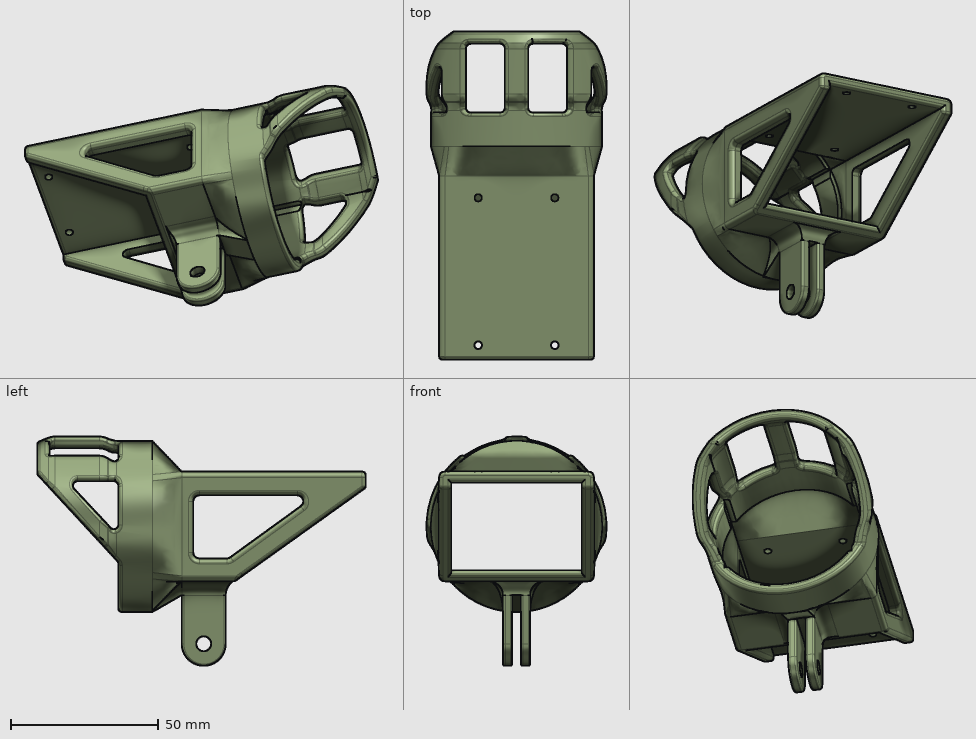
import cadquery as cq
import math


TOUCH_TOLERANCE = 0.01
OVERLAP = 1.0

BOX_LENGTH = 62.5
BOX_WIDTH = 52.6
BOX_HEIGHT = 37.3
BOX_FLOOR_LENGTH = 18.0
BOX_TIP_HEIGHT = 5.5
BOX_EDGE_RADIUS = 2.0
BOX_FRONT_ROUND = 1.3
BOX_TOP = BOX_HEIGHT / 2
BOX_BOTTOM = -BOX_HEIGHT / 2
SLOPE_RUN = BOX_LENGTH - BOX_FLOOR_LENGTH
SLOPE_RISE = BOX_HEIGHT - BOX_TIP_HEIGHT

MOUTH_WIDTH = 44.2
MOUTH_HEIGHT = 29.6

BOX_WINDOW_BACK = -4.0
BOX_WINDOW_FLOOR_END = -16.0
BOX_WINDOW_TIP = -45.4
BOX_WINDOW_TOP = 10.5
BOX_WINDOW_BOTTOM = -10.8
BOX_WINDOW_CORNER_RADIUS = 2.0
BOX_WINDOW_ROUND = 1.8

SCREW_DIAMETER = 2.5
SCREW_SPACING_X = 26.0
SCREW_SPACING_Y = 50.0
SCREW_FIRST_Y = -7.5

WALL = 4.0
TRANSITION_LENGTH = 10.0
RING_LENGTH = 11.5
RING_RADIUS = 58.15 / 2
BORE_RADIUS = RING_RADIUS - WALL
TRANSITION_BORE_RADIUS = math.hypot(MOUTH_WIDTH / 2, MOUTH_HEIGHT / 2)
RING_END = TRANSITION_LENGTH + RING_LENGTH

CAGE_LENGTH = 27.5
CAGE_STEP = 1.5
CAGE_STEP_OFFSET = 2.15
CAGE_STEP_LENGTH = 2.8
CAGE_TAPER = 2.0
CAGE_TAPER_LENGTH = 4.84
CAGE_BEND_RADIUS = 5.6
CAGE_SLOPE_LOW_Z = -12.1
CAGE_SLOPE_HIGH_Z = 17.7
CAGE_EDGE_ROUND = 1.3
CAGE_END = RING_END + CAGE_LENGTH
CAGE_STEP_START = RING_END + CAGE_STEP_OFFSET
CAGE_STEP_END = CAGE_STEP_START + CAGE_STEP_LENGTH
CAGE_TAPER_START = CAGE_END - CAGE_TAPER_LENGTH
CAGE_WINDOW_CORNER_RADIUS = 1.5

TOP_WINDOW_WIDTH = 13.1
TOP_WINDOW_CENTER_X = 10.55
TOP_WINDOW_RIM = 4.3
TOP_WINDOW_LENGTH = CAGE_LENGTH - TOP_WINDOW_RIM

SIDE_WINDOW_TOP = 15.3
SIDE_WINDOW_BOTTOM = -3.2
SIDE_WINDOW_LENGTH = 17.3

LUG_LENGTH = 15.0
LUG_WIDTH = 9.2
LUG_SLOT_WIDTH = 3.0
LUG_SLOT_TOP = -23.2
LUG_BOTTOM = -47.315
LUG_HOLE_DIAMETER = 5.0
LUG_EDGE_ROUND = 0.7
LUG_FLARE_RADIUS = 4.7
LUG_FRONT_FLARE = 4.6
PRONG_THICKNESS = (LUG_WIDTH - LUG_SLOT_WIDTH) / 2
PRONG_CENTER_X = (LUG_WIDTH + LUG_SLOT_WIDTH) / 4
LUG_PIVOT_Y = -LUG_LENGTH / 2
LUG_PIVOT_Z = LUG_BOTTOM + LUG_LENGTH / 2
LUG_SHOULDER_Z = BOX_BOTTOM - LUG_FLARE_RADIUS


def side_prism(points, width):
    """Prism of a (y, z) outline, centred on X = 0."""
    return cq.Workplane("YZ").polyline(points).close().extrude(width / 2, both=True)


def rectangle_bar(width, height, start, end):
    """Rectangular bar on the ring axis between two Y positions."""
    return cq.Workplane("XZ", origin=(0, end, 0)).rect(width, height).extrude(end - start)


def rectangle_to_circle(bar, circle_radius):
    """Straight-ruled loft from the +Y end of a bar at Y = 0 to a circle at the ring, seam at -Z."""
    rectangle = bar.faces(">Y").wires().val()
    circle = cq.Wire.makeCircle(circle_radius, cq.Vector(0, TRANSITION_LENGTH, 0), cq.Vector(0, 1, 0))
    loft = cq.Workplane(cq.Solid.makeLoft([rectangle, circle], True))
    return loft.rotate((0, 0, 0), (0, 1, 0), 180)


def edges_on(body, cutter, excluded_direction):
    """Edges of a body that touch a cutter, except those along one direction."""
    touching = []
    for edge in body.edges(f"not |{excluded_direction}").vals():
        middle = cq.Vertex.makeVertex(*edge.positionAt(0.5).toTuple())
        if middle.distance(cutter.val()) < TOUCH_TOLERANCE:
            touching.append(edge)
    return touching


def cut_rounded_window(body, window, cut_direction):
    """Cut a cage window and round its inner and outer rims."""
    body = body.cut(window)
    rims = edges_on(body, window, cut_direction)
    return body.newObject(rims).fillet(CAGE_EDGE_ROUND)


def cut_box_window(box):
    outline = [
        (BOX_WINDOW_BACK, BOX_WINDOW_TOP),
        (BOX_WINDOW_TIP, BOX_WINDOW_TOP),
        (BOX_WINDOW_FLOOR_END, BOX_WINDOW_BOTTOM),
        (BOX_WINDOW_BACK, BOX_WINDOW_BOTTOM),
    ]
    window = side_prism(outline, BOX_WIDTH).edges("|X").fillet(BOX_WINDOW_CORNER_RADIUS)
    box = box.cut(window)
    outer_rims = []
    for face in box.faces("<X or >X").vals():
        for wire in face.innerWires():
            outer_rims.extend(wire.Edges())
    return box.newObject(outer_rims).fillet(BOX_WINDOW_ROUND)


def round_box_front(box):
    slope_direction = cq.Vector(0, SLOPE_RISE, SLOPE_RUN)
    slope = box.faces(cq.selectors.ParallelDirSelector(slope_direction))
    return slope.add(box.faces("<Y")).edges().fillet(BOX_FRONT_ROUND)


def make_box():
    outline = [
        (0, BOX_TOP),
        (-BOX_LENGTH, BOX_TOP),
        (-BOX_LENGTH, BOX_TOP - BOX_TIP_HEIGHT),
        (-BOX_FLOOR_LENGTH, BOX_BOTTOM),
        (0, BOX_BOTTOM),
    ]
    box = side_prism(outline, BOX_WIDTH).edges("|Y").fillet(BOX_EDGE_RADIUS)
    box = box.cut(rectangle_bar(MOUTH_WIDTH, MOUTH_HEIGHT, -BOX_LENGTH, 0))
    return round_box_front(cut_box_window(box))


def make_transition():
    """Hollow transition with the lug brace under it."""
    outer_bar = rectangle_bar(BOX_WIDTH, BOX_HEIGHT, -BOX_LENGTH, 0).edges("|Y").fillet(BOX_EDGE_RADIUS)
    inner_bar = rectangle_bar(MOUTH_WIDTH, MOUTH_HEIGHT, -BOX_LENGTH, 0)
    outside = rectangle_to_circle(outer_bar, RING_RADIUS)
    inside = rectangle_to_circle(inner_bar, TRANSITION_BORE_RADIUS)
    return outside.union(make_lug_brace()).cut(inside)


def make_ring_and_cage_wall():
    """Revolved wall; its seam lies at -Z, where the cage is cut away."""
    offsets = [
        (TRANSITION_LENGTH, 0),
        (CAGE_STEP_START, 0),
        (CAGE_STEP_END, CAGE_STEP),
        (CAGE_TAPER_START, CAGE_STEP),
        (CAGE_END, CAGE_STEP - CAGE_TAPER),
    ]
    inner = [(BORE_RADIUS + offset, y) for y, offset in offsets]
    outer = [(RING_RADIUS + offset, y) for y, offset in offsets]
    wall = cq.Workplane("XY").polyline(inner + outer[::-1]).close()
    wall = wall.revolve(360, (0, 0, 0), (0, 1, 0)).rotate((0, 0, 0), (0, 1, 0), 90)
    reach = 2 * RING_RADIUS
    bends = cq.selectors.BoxSelector(
        (-reach, CAGE_STEP_START - TOUCH_TOLERANCE, -reach),
        (reach, CAGE_TAPER_START + TOUCH_TOLERANCE, reach),
    )
    return wall.edges(bends).fillet(CAGE_BEND_RADIUS)


def cut_cage_slope(wall):
    """Slope off the lower part of the cage, then round the slope, the ring end and the cage end."""
    reach = 2 * RING_RADIUS
    outline = [
        (RING_END, CAGE_SLOPE_LOW_Z),
        (CAGE_END, CAGE_SLOPE_HIGH_Z),
        (CAGE_END, -reach),
        (RING_END, -reach),
    ]
    below_slope = side_prism(outline, 2 * reach)
    cage = wall.cut(below_slope)
    end_plate = cq.Workplane("XZ", origin=(0, CAGE_END + OVERLAP, 0)).circle(reach).extrude(OVERLAP)
    rims = edges_on(cage, below_slope.union(end_plate), "Z")
    return cage.newObject(rims).fillet(CAGE_EDGE_ROUND)


def make_top_window(side):
    center = (side * TOP_WINDOW_CENTER_X, RING_END + TOP_WINDOW_LENGTH / 2)
    window = cq.Workplane("XY").center(*center).rect(TOP_WINDOW_WIDTH, TOP_WINDOW_LENGTH)
    return window.extrude(2 * RING_RADIUS).edges("|Z").fillet(CAGE_WINDOW_CORNER_RADIUS)


def make_side_windows():
    """Triangular prism that opens both cage sides."""
    outline = [
        (RING_END, SIDE_WINDOW_TOP),
        (RING_END + SIDE_WINDOW_LENGTH, SIDE_WINDOW_TOP),
        (RING_END, SIDE_WINDOW_BOTTOM),
    ]
    return side_prism(outline, 4 * RING_RADIUS).edges("|X").fillet(CAGE_WINDOW_CORNER_RADIUS)


def make_ring_and_cage():
    """Ring and cage with their windows; the mouth corners notch the bore."""
    cage = cut_cage_slope(make_ring_and_cage_wall())
    for side in (-1, 1):
        cage = cut_rounded_window(cage, make_top_window(side), "Z")
    cage = cut_rounded_window(cage, make_side_windows(), "X")
    return cage.cut(rectangle_bar(MOUTH_WIDTH, MOUTH_HEIGHT, TRANSITION_LENGTH, CAGE_END))


def flare_section():
    """Section of the lug root in X and Z: it widens upward into the box floor."""
    half = LUG_WIDTH / 2
    wide = half + LUG_FLARE_RADIUS
    bend = LUG_FLARE_RADIUS * (1 - math.sqrt(0.5))
    return (
        cq.Workplane("XZ")
        .moveTo(-half, LUG_SHOULDER_Z)
        .threePointArc((-half - bend, BOX_BOTTOM - bend), (-wide, BOX_BOTTOM))
        .lineTo(-wide, BOX_BOTTOM + OVERLAP)
        .lineTo(wide, BOX_BOTTOM + OVERLAP)
        .lineTo(wide, BOX_BOTTOM)
        .threePointArc((half + bend, BOX_BOTTOM - bend), (half, LUG_SHOULDER_Z))
        .close()
    )


def make_lug_root():
    """Flared root under the box floor; its front curves up to the box slope."""
    front_y = -LUG_LENGTH - LUG_FRONT_FLARE
    front_z = BOX_BOTTOM + (-front_y - BOX_FLOOR_LENGTH) * SLOPE_RISE / SLOPE_RUN
    side_profile = (
        cq.Workplane("YZ")
        .moveTo(-LUG_LENGTH, LUG_SHOULDER_Z - OVERLAP)
        .lineTo(-LUG_LENGTH, LUG_SHOULDER_Z)
        .tangentArcPoint((front_y, front_z), relative=False)
        .lineTo(-BOX_FLOOR_LENGTH, BOX_BOTTOM + OVERLAP)
        .lineTo(0, BOX_BOTTOM + OVERLAP)
        .lineTo(0, LUG_SHOULDER_Z - OVERLAP)
        .close()
        .extrude(BOX_WIDTH / 2, both=True)
    )
    return flare_section().extrude(2 * LUG_LENGTH).intersect(side_profile)


def make_lug_brace():
    """Flared root continued under the transition, sloping down to the ring."""
    drop = LUG_SHOULDER_Z + RING_RADIUS
    sweep = cq.Vector(0, TRANSITION_LENGTH, -drop)
    return cq.Workplane(cq.Solid.extrudeLinear(flare_section().wires().val(), [], sweep))


def make_prong(center_x):
    prong = (
        cq.Workplane("YZ", origin=(center_x, 0, 0))
        .moveTo(0, LUG_SHOULDER_Z)
        .lineTo(0, LUG_PIVOT_Z)
        .threePointArc((LUG_PIVOT_Y, LUG_BOTTOM), (-LUG_LENGTH, LUG_PIVOT_Z))
        .lineTo(-LUG_LENGTH, LUG_SHOULDER_Z)
        .close()
        .extrude(PRONG_THICKNESS / 2, both=True)
    )
    prong = prong.faces("<X or >X").edges("not >Z").fillet(LUG_EDGE_ROUND)
    pivot = cq.Workplane("YZ", origin=(center_x, LUG_PIVOT_Y, LUG_PIVOT_Z)).circle(LUG_HOLE_DIAMETER / 2)
    return prong.cut(pivot.extrude(PRONG_THICKNESS, both=True))


def make_lug():
    slot = cq.Workplane("XY", origin=(0, -LUG_LENGTH, LUG_BOTTOM))
    slot = slot.rect(LUG_SLOT_WIDTH, 2 * LUG_LENGTH).extrude(LUG_SLOT_TOP - LUG_BOTTOM)
    lug = make_lug_root().cut(slot)
    for side in (-1, 1):
        lug = lug.union(make_prong(side * PRONG_CENTER_X))
    return lug


def drill_screw_holes(body):
    """Drill the top plate only; the box floor stays whole."""
    center_y = SCREW_FIRST_Y - SCREW_SPACING_Y / 2
    screws = cq.Workplane("XY", origin=(0, center_y, 0))
    screws = screws.rarray(SCREW_SPACING_X, SCREW_SPACING_Y, 2, 2).circle(SCREW_DIAMETER / 2)
    return body.cut(screws.extrude(BOX_HEIGHT))


result = make_box().union(make_lug()).union(make_transition()).union(make_ring_and_cage())
result = drill_screw_holes(result)